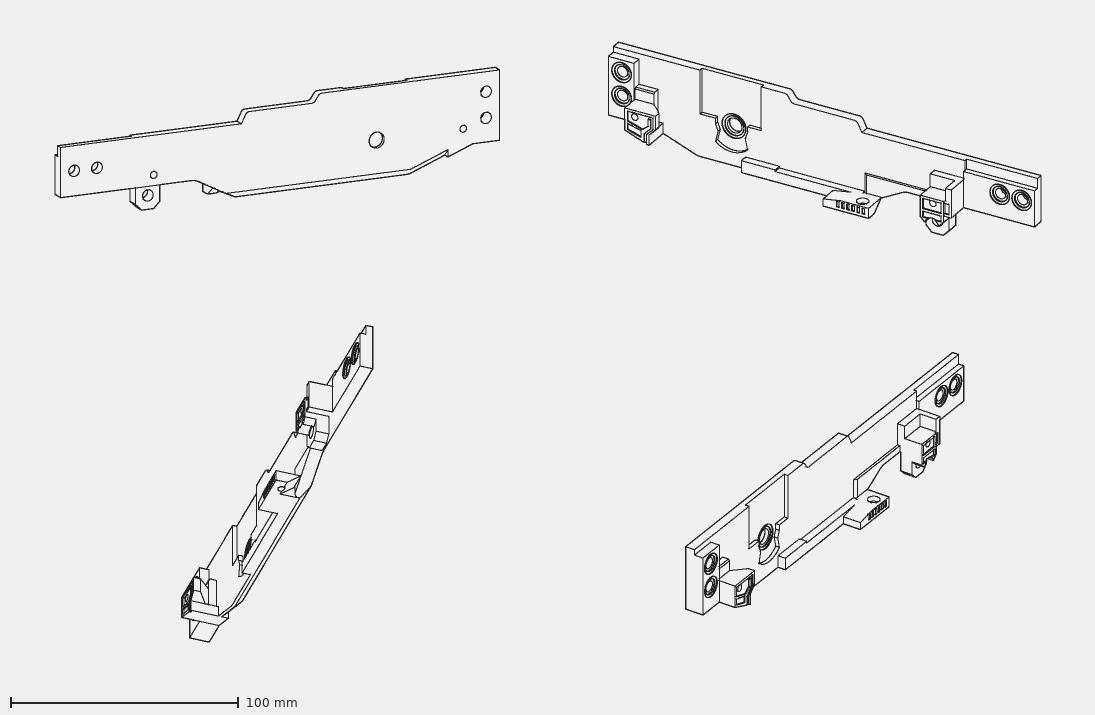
import cadquery as cq
import math


length = 213.0
plate_thickness = 4.7
plate_height = 43.2
middle_height = 39.2
low_height = 34.0
end_bottom = 11.0
lower_edge_chamfer = 3.2
lower_slope_end = 65.2
lower_edge_start = 86.0
lower_edge_end = 170.5
first_step = 125.7
first_step_run = 2.8
second_step = 87.8
second_step_run = 2.5
upper_round = 2.1
lower_round = 6.4
overall_depth = 17.5
raised_thickness = 6.0

pad_width = 13.0
pad_top = 40.5
pad_thickness = 9.2
side_pad_end = length - 22.5
side_pad_top = 28.0
side_pad_chamfer = 0.6
side_pad_thickness = 8.3

low_pad_end = 35.8
low_pad_top = 29.2
recessed_thickness = 3.2

screw_hole = 5.1
screw_steps = ((9.8, 0.5), (7.5, 1.0))
pad_screws = ((206.5, 34.0), (206.5, 22.2))
low_pad_screws = ((17.7, 22.5), (6.5, 22.5))

pivot_y = 153.4
pivot_z = 18.5
pivot_hole = 7.2
pivot_steps = ((12.0, 0.5), (9.5, 0.9))
recess_depth = 2.0
recess_right = 138.5
recess_left = 169.3
recess_shelf = 21.3
neck_half_width = 8.0
waist_half_width = 6.8
waist_drop = 3.5
lobe_radius = 12.0

clip_top = 22.2
clip_tip = length - 28.5
clip_foot = length - 25.1
clip_tip_depth = 3.2
clip_step_top = 15.1
clip_pin_y = 195.3
clip_pin_z = 18.5
clip_recess_side = 16.0
clip_recess_corner = (191.3, 13.6)
clip_lower_recess_right = 192.0
clip_lower_recess_left_range = (11.7, 14.7)
clip_lower_recess_right_range = (9.5, 13.0)

rail_start = 146.3
rail_step = 129.3
rail_thickness = 8.5
rail_high_top = 6.0
rail_top = 5.1
foot_end = 77.0
foot_start = 100.1
foot_ramp_top = 91.2
foot_ramp_low = 3.6
foot_flat = 5.1
foot_hole_y = 82.6
foot_hole_x = -13.0
foot_bore = 5.5
foot_bore_depth = 2.5
groove_count = 6
groove_pitch = 2.5
groove_width = 1.3
first_groove = 79.9
groove_low = 1.5
groove_high = 4.3

ledge_start = 86.3
ledge_ramp = 1.5
ledge_top = 14.3

lug_left = 51.1
lug_right = low_pad_end
lug_top = 25.1
lug_wall_depth = 16.8
lug_wall = 3.0
lug_tongue_right = 39.5
lug_box_top = 18.7
lug_box_corner = 8.0
lug_box_low = 5.1
tongue_front = 12.4
tongue_back = 6.4
tongue_low = -1.5
tongue_chamfer = 3.0
lug_hole = 5.1
lug_relief = 7.2
lug_hole_y = 45.4
lug_hole_z = 5.0
lug_pin_y = 45.2
lug_pin_z = 16.0

pin_hole = 3.2
mark_depth = 0.6
rim = 1.3


def slab(points, back, front):
    """Prism on a (Y, Z) outline between two distances from the X = 0 face."""
    return cq.Workplane("YZ", origin=(-front, 0, 0)).polyline(points).close().extrude(front - back)


def block(y_low, y_high, z_low, z_high, back, front):
    """Rectangular block given by its Y and Z ranges and its distances from X = 0."""
    outline = ((y_low, z_low), (y_high, z_low), (y_high, z_high), (y_low, z_high))
    return slab(outline, back, front)


def rod(y, z, diameter, back, front):
    """Cylinder along X."""
    return cq.Workplane("YZ", origin=(-front, 0, 0)).center(y, z).circle(diameter / 2).extrude(front - back)


def stepped_hole(y, z, diameter, steps, surface):
    """Cutter for a through hole with round steps below the given surface."""
    cutter = rod(y, z, diameter, 0, overall_depth)
    for step_diameter, depth in steps:
        cutter = cutter.union(rod(y, z, step_diameter, surface - depth, overall_depth))
    return cutter


lower_corner = (lower_slope_end, end_bottom)
slope_foot = (lower_edge_end, 0)
step_corners = (
    (first_step, plate_height), (first_step - first_step_run, middle_height),
    (second_step + second_step_run, middle_height), (second_step, low_height),
)
plate_outline = (
    (0, end_bottom), lower_corner, (lower_edge_start, 0), slope_foot, (length - pad_width, end_bottom),
    (length, end_bottom), (length, plate_height), *step_corners, (0, low_height),
)


def corner_edges(solid, corners):
    """Edges along X that pass through the given (Y, Z) outline corners."""
    match_distance = 0.02

    def at_corner(edge):
        place = (edge.Center().y, edge.Center().z)
        return any(math.dist(place, corner) < match_distance for corner in corners)

    return solid.edges("|X").filter(at_corner)


def plate_prism(back, front):
    """Prism with the rounded plate outline between two distances from X = 0."""
    prism = slab(plate_outline, back, front)
    prism = corner_edges(prism, step_corners[:3]).fillet(upper_round)
    return corner_edges(prism, (lower_corner, slope_foot)).fillet(lower_round)


def make_plate():
    plate = plate_prism(0, plate_thickness)
    plate = plate.faces("<Z").edges(">X").chamfer(lower_edge_chamfer)
    return plate.cut(block(0, low_pad_end, low_pad_top, plate_height, recessed_thickness, plate_thickness))


def make_pads():
    pads = block(length - pad_width, length, end_bottom, pad_top, 0, pad_thickness)
    side_pad = block(side_pad_end, length - pad_width, 0, side_pad_top, plate_thickness, side_pad_thickness)
    side_pad = side_pad.edges("<X and >Z").chamfer(side_pad_chamfer)
    pads = pads.union(side_pad.intersect(plate_prism(0, overall_depth)))
    return pads.union(block(0, low_pad_end, end_bottom, low_pad_top, 0, raised_thickness))


def make_ledge():
    ramp_plan = (
        (-plate_thickness, 0), (-raised_thickness, 0),
        (-raised_thickness, ledge_start - ledge_ramp), (-plate_thickness, ledge_start),
    )
    ledge = cq.Workplane("XY").polyline(ramp_plan).close().extrude(ledge_top)
    return ledge.intersect(plate_prism(0, overall_depth))


def make_recess():
    """Cutter for the keyhole recess: a rectangle open to the top above a waisted round lobe."""
    lobe_z = pivot_z - math.sqrt(lobe_radius**2 - neck_half_width**2)
    right = pivot_y - neck_half_width
    left = pivot_y + neck_half_width
    return (
        cq.Workplane("YZ", origin=(-plate_thickness, 0, 0))
        .moveTo(recess_right, plate_height)
        .lineTo(recess_right, recess_shelf)
        .lineTo(right, recess_shelf)
        .lineTo(right, pivot_z)
        .lineTo(pivot_y - waist_half_width, pivot_z - waist_drop)
        .lineTo(right, lobe_z)
        .threePointArc((pivot_y, pivot_z - lobe_radius), (left, lobe_z))
        .lineTo(pivot_y + waist_half_width, pivot_z - waist_drop)
        .lineTo(left, pivot_z)
        .lineTo(left, recess_shelf)
        .lineTo(recess_left, recess_shelf)
        .lineTo(recess_left, plate_height)
        .close()
        .extrude(recess_depth)
    )


def clip_outline(inset):
    """(Y, Z) outline of the clip front, with the free right edge and top moved inwards."""
    step = clip_foot - clip_tip
    return (
        (length - pad_width, clip_top - inset), (clip_tip + inset, clip_top - inset),
        (clip_tip + inset, clip_step_top), (clip_foot + inset, clip_step_top - step),
        (clip_foot + inset, 0), (length - pad_width, 0),
    )


def make_clip():
    back_y = clip_tip + overall_depth - clip_tip_depth - side_pad_thickness
    upper_plan = (
        (0, length - pad_width), (-overall_depth, length - pad_width), (-overall_depth, clip_tip),
        (clip_tip_depth - overall_depth, clip_tip), (-side_pad_thickness, back_y), (0, back_y),
    )
    clip = slab(clip_outline(0), 0, overall_depth)
    clip = clip.intersect(cq.Workplane("XY").polyline(upper_plan).close().extrude(clip_top))
    lower = block(clip_foot, length - pad_width, 0, clip_step_top - (clip_foot - clip_tip), 0, overall_depth)
    clip = clip.union(lower).intersect(plate_prism(0, overall_depth))

    surface = overall_depth - mark_depth
    groove = slab(clip_outline(rim), surface, overall_depth)
    groove = groove.cut(slab(clip_outline(2 * rim), surface, overall_depth))
    tip_zone = block(clip_tip, clip_foot + 2 * rim, 0, clip_top - rim, 0, overall_depth)
    clip = clip.cut(groove.intersect(tip_zone))
    left = length - pad_width - rim
    upper_recess = (
        (left, clip_top - rim), (clip_tip + 3 * rim, clip_top - rim), (clip_tip + 3 * rim, clip_recess_side),
        clip_recess_corner, (left, clip_recess_side),
    )
    left_low, left_high = clip_lower_recess_left_range
    right_low, right_high = clip_lower_recess_right_range
    lower_recess = (
        (left, left_low), (clip_lower_recess_right, right_low),
        (clip_lower_recess_right, right_high), (left, left_high),
    )
    for recess in (upper_recess, lower_recess):
        clip = clip.cut(slab(recess, surface, overall_depth))
    return clip


def make_rail():
    rail = block(rail_step, rail_start, 0, rail_high_top, plate_thickness, rail_thickness)
    return rail.union(block(foot_end, rail_step, 0, rail_top, plate_thickness, rail_thickness))


def make_rail_with_foot():
    side = (
        (foot_end, 0), (foot_start, 0), (foot_start, foot_ramp_low),
        (foot_ramp_top, rail_top), (foot_end, rail_top),
    )
    foot = make_rail().union(slab(side, rail_thickness, overall_depth))

    slope = (
        (foot_flat - overall_depth, 0), (-plate_thickness, 0), (-plate_thickness, rail_top),
        (-raised_thickness, rail_top),
    )
    foot = foot.cut(cq.Workplane("XZ").polyline(slope).close().extrude(-ledge_start))

    hole = cq.Workplane("XY").center(foot_hole_x, foot_hole_y)
    foot = foot.cut(hole.circle(pin_hole / 2).extrude(rail_top))
    bore = hole.workplane(offset=rail_top - foot_bore_depth).circle(foot_bore / 2).extrude(foot_bore_depth)
    foot = foot.cut(bore)
    for index in range(groove_count):
        y = first_groove + index * groove_pitch
        groove = block(y - groove_width / 2, y + groove_width / 2, groove_low, groove_high,
                       overall_depth - mark_depth, overall_depth)
        foot = foot.cut(groove)
    return foot


def make_lug():
    lug = block(lug_right, lug_left, end_bottom, lug_top, 0, rail_thickness)
    lug = lug.union(block(lug_right, lug_right + lug_wall, end_bottom, lug_top, 0, lug_wall_depth))
    lug = lug.union(block(lug_right, lug_left, end_bottom, lug_box_top, 0, lug_wall_depth))

    tongue = block(lug_tongue_right, lug_left, tongue_low, lug_box_top, tongue_back, tongue_front)
    tongue = tongue.edges("|X and <Z").chamfer(tongue_chamfer)

    corner = lug_box_corner - lug_box_low
    box = slab(
        (
            (lug_tongue_right, lug_box_top), (lug_tongue_right, lug_box_corner),
            (lug_tongue_right + corner, lug_box_low), (lug_left - corner, lug_box_low),
            (lug_left, lug_box_corner), (lug_left, lug_box_top),
        ),
        tongue_front, overall_depth,
    )
    box = box.cut(rod(lug_hole_y, lug_hole_z, lug_relief, tongue_front, overall_depth))
    lug = lug.union(tongue).union(box)

    surface = overall_depth - mark_depth
    recess_low = end_bottom + rim
    recess_high = lug_box_top - rim
    for low, high in ((recess_low, recess_high), (lug_box_corner, end_bottom)):
        lug = lug.cut(block(lug_tongue_right + rim, lug_left - rim, low, high, surface, overall_depth))
    lug = lug.cut(block(lug_right + rim, lug_tongue_right, recess_low, recess_high,
                        lug_wall_depth - mark_depth, overall_depth))
    return lug.cut(rod(lug_hole_y, lug_hole_z, lug_hole, 0, overall_depth))


result = make_plate().cut(make_recess())
for feature in (make_pads(), make_ledge(), make_clip(), make_rail_with_foot(), make_lug()):
    result = result.union(feature)

for y, z in pad_screws:
    result = result.cut(stepped_hole(y, z, screw_hole, screw_steps, pad_thickness))
for y, z in low_pad_screws:
    result = result.cut(stepped_hole(y, z, screw_hole, screw_steps, raised_thickness))
recess_floor = plate_thickness - recess_depth
result = result.cut(stepped_hole(pivot_y, pivot_z, pivot_hole, pivot_steps, recess_floor))
for y, z in ((clip_pin_y, clip_pin_z), (lug_pin_y, lug_pin_z)):
    result = result.cut(rod(y, z, pin_hole, 0, overall_depth))